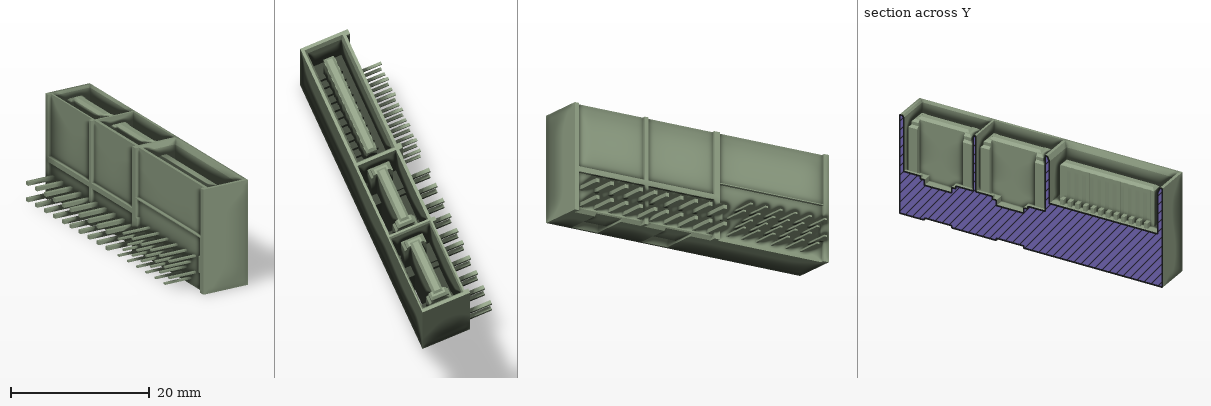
import cadquery as cq

LENGTH = 43.8
DEPTH = 7.5
HEIGHT = 16.3

POWER_PITCH = 12.0
POWER_STARTS = [0.0, POWER_PITCH]
POWER_CENTER = 6.4
SIGNAL_CENTER = 33.65
BAY_CENTER_Y = 4.05

POWER_LEFT = 0.7
POWER_WIDTH = 11.45
POWER_OPEN_DEPTH = 6.05
POWER_FLOOR = 6.7
LEAD_IN_WIDTH = 0.2
LEAD_IN_DROP = 0.35
SIGNAL_LEFT = 24.95
SIGNAL_RIGHT = 42.95
SIGNAL_OPEN_DEPTH = 5.3
SIGNAL_OPEN_CENTER_Y = 4.03
SIGNAL_FLOOR = 8.62
SIGNAL_LEAD_IN_WIDTH = 0.35
SIGNAL_LEAD_IN_DROP = 0.8

RECESS_DEPTH = 0.55
POWER_RECESS_WIDTH = 11.4
POWER_RAIL_BOTTOM = 5.9
SIGNAL_RECESS_LEFT = 25.0
SIGNAL_UPPER_RIGHT = 43.0
SIGNAL_LOWER_RIGHT = 42.85
SIGNAL_RAIL_BOTTOM = 8.5
TAB_WIDTH = 0.45
TAB_BOTTOM = 3.0
TAB_TOP = 5.55
BOTTOM_BEVEL = 0.53

VENT_WIDTH = 4.45
VENT_SLOT_HEIGHT = 0.35
VENT_POCKET_DEPTH = 0.88

PAD_LEFT_EDGE = 3.45
PAD_HEIGHT = 0.45

TONGUE_THICKNESS = 1.6
TONGUE_BEVEL = 0.4
POWER_TONGUE_LENGTH = 8.7
POWER_TONGUE_TOP = 15.8
POST_SPAN = 10.55
POST_DEPTH = 3.4
POST_GAP = 7.57
POST_STEP = 0.35
POST_SHOULDERS = [14.27, 15.15]
SIGNAL_TONGUE_LENGTH = 15.6
SIGNAL_TONGUE_TOP = 14.9

CONTACT_COUNT = 12
CONTACT_PITCH = 1.25
CONTACT_WIDTH = 0.6
CONTACT_PROUD = 0.05
CONTACT_DROP = 0.35
CONTACT_FOOT_REACH = 0.95
CONTACT_FOOT_HEIGHT = 0.88

PIN_LENGTH = 3.9
POWER_PIN_SIZE = 0.55
POWER_PIN_COUNT = 5
POWER_PIN_PITCH = 2.5
POWER_PIN_ROWS = [1.05, 3.6]
SIGNAL_PIN_WIDTH = 0.45
SIGNAL_PIN_HEIGHT = 0.25
SIGNAL_EVEN_ROWS = [1.05, 3.6]
SIGNAL_ODD_ROWS = [2.35, 4.9]


def block(x_range, y_range, z_range):
    """Box between the given limits along each axis."""
    lows, highs = zip(x_range, y_range, z_range)
    sizes = [high - low for low, high in zip(lows, highs)]
    return cq.Workplane("XY").box(*sizes, centered=False).translate(lows)


def around(center, size):
    """Limits of a length centred on a point."""
    return center - size / 2, center + size / 2


def spaced(center, count, pitch):
    """Evenly spaced positions about a centre."""
    return [center + (i - (count - 1) / 2) * pitch for i in range(count)]


def frustum(x_range, y_range, z_range, inset):
    """Rectangular block whose four sides lean in by an inset towards the top."""
    center = (sum(x_range) / 2, sum(y_range) / 2, z_range[0])
    length = x_range[1] - x_range[0]
    width = y_range[1] - y_range[0]
    return (
        cq.Workplane("XY", origin=center)
        .rect(length, width)
        .workplane(offset=z_range[1] - z_range[0])
        .rect(length - 2 * inset, width - 2 * inset)
        .loft(ruled=True)
    )


def opening(x_range, y_range, floor, lead_width, lead_drop):
    """Open-topped bay with a sloping lead-in around its rim."""
    bay = block(x_range, y_range, (floor, HEIGHT))
    if lead_drop == 0:
        return bay
    rim_x = (x_range[0] - lead_width, x_range[1] + lead_width)
    rim_y = (y_range[0] - lead_width, y_range[1] + lead_width)
    lead_in = frustum(rim_x, rim_y, (HEIGHT, HEIGHT - lead_drop), lead_width)
    return bay.union(lead_in)


def tongue(center_x, length, floor, top):
    """Upright blade with a bevelled top edge all round."""
    x_range = around(center_x, length)
    y_range = around(BAY_CENTER_Y, TONGUE_THICKNESS)
    blade = block(x_range, y_range, (floor, top))
    return blade.faces(">Z").chamfer(TONGUE_BEVEL)


def end_posts(center_x):
    """Pair of posts with two stepped, hipped tiers and plain inner faces."""
    posts = cq.Workplane("XY")
    for tier, shoulder in enumerate(POST_SHOULDERS):
        x_range = around(center_x, POST_SPAN - 2 * tier * POST_STEP)
        y_range = around(BAY_CENTER_Y, POST_DEPTH - 2 * tier * POST_STEP)
        posts = posts.add(block(x_range, y_range, (POWER_FLOOR, shoulder)))
        posts = posts.add(frustum(x_range, y_range, (shoulder, shoulder + POST_STEP), POST_STEP))
    gap = block(around(center_x, POST_GAP), around(BAY_CENTER_Y, POST_DEPTH), (POWER_FLOOR, HEIGHT))
    return posts.combine().cut(gap)


def contact_pair(x):
    """Upright blades on both faces of the signal tongue, each standing on a projecting foot."""
    x_range = around(x, CONTACT_WIDTH)
    blade_y = around(BAY_CENTER_Y, TONGUE_THICKNESS + 2 * CONTACT_PROUD)
    blades = block(x_range, blade_y, (SIGNAL_FLOOR, SIGNAL_TONGUE_TOP - CONTACT_DROP))
    foot_y = around(BAY_CENTER_Y, TONGUE_THICKNESS + 2 * CONTACT_FOOT_REACH)
    feet = block(x_range, foot_y, (SIGNAL_FLOOR, SIGNAL_FLOOR + CONTACT_FOOT_HEIGHT))
    return blades.union(feet)


def pin(x, z, width, height):
    """Straight pin from the bottom of the front recess."""
    return block(around(x, width), (-PIN_LENGTH, RECESS_DEPTH), around(z, height))


def cut_power_front(body, center_x):
    """Front recesses and the bevel along the bottom edge of the lower one."""
    recess_x = around(center_x, POWER_RECESS_WIDTH)
    body = body.cut(block(recess_x, (0, RECESS_DEPTH), (POWER_FLOOR, HEIGHT)))
    body = body.cut(block(recess_x, (0, RECESS_DEPTH), (0, POWER_RAIL_BOTTOM)))
    bevel = (
        cq.Workplane("YZ", origin=(recess_x[0], RECESS_DEPTH, 0))
        .polyline([(0, 0), (BOTTOM_BEVEL, 0), (0, BOTTOM_BEVEL)])
        .close()
        .extrude(POWER_RECESS_WIDTH)
    )
    return body.cut(bevel)


def cut_power_bay(body, start, lead_drop):
    """Bay opening with corner pads left standing on its floor."""
    x_range = (start + POWER_LEFT, start + POWER_LEFT + POWER_WIDTH)
    y_range = around(BAY_CENTER_Y, POWER_OPEN_DEPTH)
    bay = opening(x_range, y_range, POWER_FLOOR, LEAD_IN_WIDTH, lead_drop)
    pads = block(x_range, y_range, (POWER_FLOOR, POWER_FLOOR + PAD_HEIGHT))
    center_x = start + POWER_CENTER
    aisle_width = 2 * (POWER_CENTER - PAD_LEFT_EDGE)
    pads = pads.cut(block(around(center_x, aisle_width), y_range, (POWER_FLOOR, HEIGHT)))
    pads = pads.cut(block(x_range, around(BAY_CENTER_Y, POST_DEPTH), (POWER_FLOOR, HEIGHT)))
    return body.cut(bay.cut(pads))


def cut_vent(body, center_x):
    """Channel down behind the tongue and out under the front, plus a pocket ahead of it."""
    vent_x = around(center_x, VENT_WIDTH)
    bay_front, bay_back = around(BAY_CENTER_Y, POWER_OPEN_DEPTH)
    tongue_front, tongue_back = around(BAY_CENTER_Y, TONGUE_THICKNESS)
    body = body.cut(block(vent_x, (tongue_back, bay_back), (0, POWER_FLOOR)))
    body = body.cut(block(vent_x, (0, bay_back), (0, VENT_SLOT_HEIGHT)))
    pocket_z = (POWER_FLOOR - VENT_POCKET_DEPTH, POWER_FLOOR)
    return body.cut(block(vent_x, (bay_front, tongue_front), pocket_z))


def add_power_module(body, start, lead_drop):
    """Complete power bay with its tongue and pins."""
    center_x = start + POWER_CENTER
    body = cut_power_front(body, center_x)
    body = cut_power_bay(body, start, lead_drop)
    body = cut_vent(body, center_x)
    body = body.union(end_posts(center_x))
    body = body.union(tongue(center_x, POWER_TONGUE_LENGTH, POWER_FLOOR, POWER_TONGUE_TOP))
    for x in spaced(center_x, POWER_PIN_COUNT, POWER_PIN_PITCH):
        for z in POWER_PIN_ROWS:
            body = body.union(pin(x, z, POWER_PIN_SIZE, POWER_PIN_SIZE))
    return body


def cut_signal_front(body):
    """Front recesses, with a locking tab left on both sides of the lower one."""
    upper_x = (SIGNAL_RECESS_LEFT, SIGNAL_UPPER_RIGHT)
    lower_x = (SIGNAL_RECESS_LEFT, SIGNAL_LOWER_RIGHT)
    between_tabs = (lower_x[0] + TAB_WIDTH, lower_x[1] - TAB_WIDTH)
    recess_y = (0, RECESS_DEPTH)
    body = body.cut(block(upper_x, recess_y, (SIGNAL_FLOOR, HEIGHT)))
    body = body.cut(block(lower_x, recess_y, (TAB_TOP, SIGNAL_RAIL_BOTTOM)))
    body = body.cut(block(between_tabs, recess_y, (TAB_BOTTOM, TAB_TOP)))
    return body.cut(block(lower_x, recess_y, (0, TAB_BOTTOM)))


def add_signal_module(body):
    """Complete signal bay with its tongue, contacts and staggered pins."""
    body = cut_signal_front(body)
    bay = opening(
        (SIGNAL_LEFT, SIGNAL_RIGHT),
        around(SIGNAL_OPEN_CENTER_Y, SIGNAL_OPEN_DEPTH),
        SIGNAL_FLOOR,
        SIGNAL_LEAD_IN_WIDTH,
        SIGNAL_LEAD_IN_DROP,
    )
    body = body.cut(bay)
    body = body.union(tongue(SIGNAL_CENTER, SIGNAL_TONGUE_LENGTH, SIGNAL_FLOOR, SIGNAL_TONGUE_TOP))
    for i, x in enumerate(spaced(SIGNAL_CENTER, CONTACT_COUNT, CONTACT_PITCH)):
        body = body.union(contact_pair(x))
        rows = SIGNAL_ODD_ROWS if i % 2 else SIGNAL_EVEN_ROWS
        for z in rows:
            body = body.union(pin(x, z, SIGNAL_PIN_WIDTH, SIGNAL_PIN_HEIGHT))
    return body


housing = block((0, LENGTH), (0, DEPTH), (0, HEIGHT))
housing = add_power_module(housing, POWER_STARTS[0], LEAD_IN_DROP)
housing = add_power_module(housing, POWER_STARTS[1], 0)
result = add_signal_module(housing)